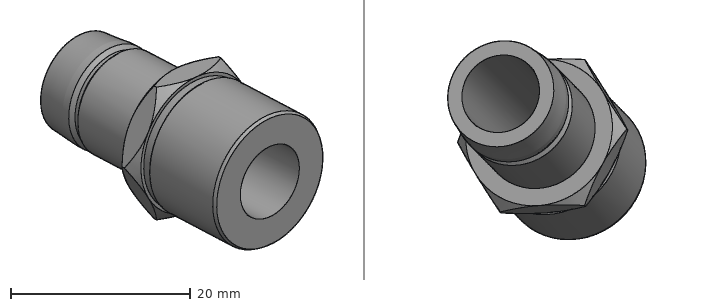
import cadquery as cq
import math

length = 31.0
tip_end = 4.0
groove_start = 5.0
hex_start = 16.0
hex_width = 3.0
hex_end = hex_start + hex_width
body_start = 20.05

bore_diameter = 9.0
tip_diameter = 12.3
barrel_diameter = 13.0
collar_diameter = 16.15
body_diameter = 16.65
hex_across_flats = 17.0

groove_depth = 0.5
groove_floor_width = 0.5
inner_chamfer_length = 0.2
end_chamfer_length = 0.4
end_chamfer_angle = 30.0

tip_radius = tip_diameter / 2
barrel_radius = barrel_diameter / 2
collar_radius = collar_diameter / 2
body_radius = body_diameter / 2
groove_radius = barrel_radius - groove_depth
flat_radius = hex_across_flats / 2
corner_radius = flat_radius / math.cos(math.pi / 6)


def tapered_barrel():
    """Hose barrel with a conical lead-in and a V-flanked groove, running up to the hexagon."""
    floor_start = groove_start + groove_depth
    floor_end = floor_start + groove_floor_width
    groove_end = floor_end + groove_depth
    return (
        cq.Workplane("XZ")
        .moveTo(0, 0)
        .lineTo(0, tip_radius)
        .lineTo(tip_end, barrel_radius)
        .lineTo(groove_start, barrel_radius)
        .lineTo(floor_start, groove_radius)
        .lineTo(floor_end, groove_radius)
        .lineTo(groove_end, barrel_radius)
        .lineTo(hex_start, barrel_radius)
        .lineTo(hex_start, 0)
        .close()
        .revolve(360, (0, 0, 0), (1, 0, 0))
    )


def hexagon():
    """Wrench hexagon with corners on the Y axis and 45 degree chamfers on both faces."""
    prism = (
        cq.Workplane("YZ")
        .workplane(offset=hex_start)
        .polygon(6, 2 * corner_radius)
        .extrude(hex_width)
    )
    half_width = hex_width / 2
    chamfer_envelope = (
        cq.Workplane("XZ")
        .moveTo(hex_start, 0)
        .lineTo(hex_start, flat_radius)
        .lineTo(hex_start + half_width, flat_radius + half_width)
        .lineTo(hex_end, flat_radius)
        .lineTo(hex_end, 0)
        .close()
        .revolve(360, (0, 0, 0), (1, 0, 0))
    )
    return prism.intersect(chamfer_envelope)


def collar_and_body():
    """Short collar behind the hexagon and the large body, which is chamfered on both rims."""
    end_chamfer_depth = end_chamfer_length * math.tan(math.radians(end_chamfer_angle))
    return (
        cq.Workplane("XZ")
        .moveTo(hex_end, 0)
        .lineTo(hex_end, collar_radius)
        .lineTo(body_start, collar_radius)
        .lineTo(body_start + inner_chamfer_length, body_radius)
        .lineTo(length - end_chamfer_length, body_radius)
        .lineTo(length, body_radius - end_chamfer_depth)
        .lineTo(length, 0)
        .close()
        .revolve(360, (0, 0, 0), (1, 0, 0))
    )


bore = cq.Workplane("YZ").circle(bore_diameter / 2).extrude(length)

result = tapered_barrel().union(hexagon()).union(collar_and_body()).cut(bore)